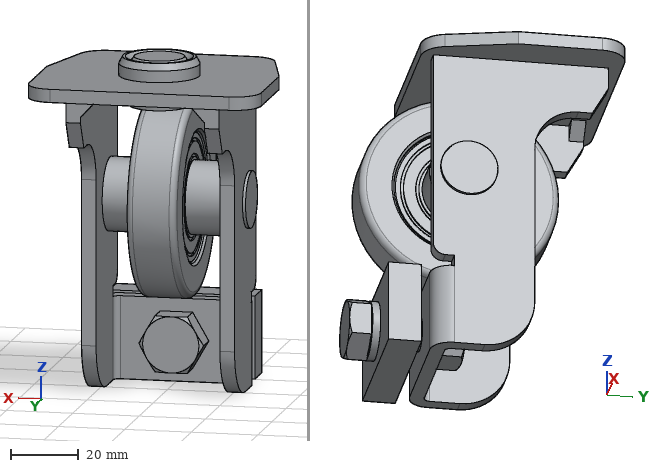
import cadquery as cq
import math


total_height = 102.5

plate_width = 70.0
plate_back = 28.1
plate_front = -32.0
plate_thickness = 4.0
plate_top = 97.0
plate_bottom = plate_top - plate_thickness
plate_taper_start = -5.0
plate_front_half_width = 27.7
plate_corner_radius = 8.0

stud_head_radius = 12.0
stud_bevel_width = 1.1
stud_bevel_height = 2.0
groove_inner_radius = 7.5
groove_bottom_radius = 8.5
groove_outer_radius = 10.0
groove_depth = 1.5
collar_radius = 9.2
collar_tip_radius = 8.8
collar_cylinder_height = 2.4
collar_height = 5.1

sheet = 4.4
fork_half_width = 23.1
fork_inner_half_width = fork_half_width - sheet
fork_back = 24.0
fork_front = -28.4
column_back = 1.9
neck_radius = 13.0
neck_level = 77.9
back_bevel_width = 4.8
back_bevel_top = 86.3
heel_radius = 15.0
arm_bottom = 28.3
arm_corner_radius = 3.6
foot_height = 25.0
foot_inside = fork_front + sheet
bend_outer_radius = 6.3
bend_inner_radius = bend_outer_radius - sheet
bend_start = fork_front + bend_outer_radius
gusset_width = 4.5
gusset_height = 4.9

axle_y = -17.7
axle_z = 56.9
wheel_radius = 29.9
wheel_width = 15.0
tread_fillet = 1.9
bore_radius = 19.6
bore_chamfer = 0.7
bearing_width = 12.7
race_chamfer = 0.5
inner_race_radius = 12.0
shield_inner_radius = 12.9
shield_outer_radius = 16.6
outer_race_radius = 17.5
shield_groove_depth = 0.5
spacer_radius = 11.1
pin_radius = 8.5
pin_length = 48.0

block_width = 44.0
block_front = -41.6
block_thickness = 9.8
bolt_z = foot_height / 2
bolt_radius = 5.0
washer_radius = 8.8
washer_thickness = 2.4
hex_across_flats = 16.9
head_collar_radius = 8.3
head_collar_thickness = 0.3
head_thickness = 6.6
nut_thickness = 8.0
hex_bevel_angle = math.radians(30)
hex_half_sector = math.radians(30)
head_turn = 90
nut_turn = 0


def along_x(radius, length):
    """Cylinder on the axle, centred on X = 0."""
    return (
        cq.Workplane("YZ", origin=(-length / 2, axle_y, axle_z))
        .circle(radius)
        .extrude(length)
    )


def along_bolt(radius, y_front, y_back):
    """Cylinder on the bolt axis between two Y positions."""
    return (
        cq.Workplane("XZ", origin=(0, y_back, bolt_z))
        .circle(radius)
        .extrude(y_back - y_front)
    )


def mounting_plate():
    """Plate with rounded corners, its sides tapering toward the front."""
    half = plate_width / 2
    outline = [
        (-half, plate_back),
        (half, plate_back),
        (half, plate_taper_start),
        (plate_front_half_width, plate_front),
        (-plate_front_half_width, plate_front),
        (-half, plate_taper_start),
    ]
    plate = cq.Workplane("XY", origin=(0, 0, plate_bottom)).polyline(outline).close().extrude(plate_thickness)
    rounded = plate.edges("|Z and >Y").fillet(plate_corner_radius)
    return rounded.edges("|Z and <Y").fillet(plate_corner_radius)


def stud():
    """Turned stud with a V groove in its head and a tapered collar under the plate."""
    profile = (
        cq.Workplane("XZ")
        .moveTo(0, plate_bottom - collar_height)
        .lineTo(collar_tip_radius, plate_bottom - collar_height)
        .lineTo(collar_radius, plate_bottom - collar_cylinder_height)
        .lineTo(collar_radius, plate_top)
        .lineTo(stud_head_radius, plate_top)
        .lineTo(stud_head_radius, total_height - stud_bevel_height)
        .lineTo(stud_head_radius - stud_bevel_width, total_height)
        .lineTo(groove_outer_radius, total_height)
        .lineTo(groove_bottom_radius, total_height - groove_depth)
        .lineTo(groove_inner_radius, total_height)
        .lineTo(0, total_height)
        .close()
    )
    return profile.revolve(360, (0, 0, 0), (0, 1, 0))


def fork_arm(x_start):
    """Side arm of the fork, one sheet thick, starting at x_start."""
    return (
        cq.Workplane("YZ", origin=(x_start, 0, 0))
        .moveTo(fork_front, plate_bottom)
        .lineTo(fork_back, plate_bottom)
        .lineTo(fork_back, back_bevel_top)
        .lineTo(fork_back - back_bevel_width, neck_level)
        .lineTo(column_back + neck_radius, neck_level)
        .radiusArc((column_back, neck_level - neck_radius), -neck_radius)
        .lineTo(column_back, heel_radius)
        .radiusArc((column_back - heel_radius, 0), heel_radius)
        .lineTo(bend_start, 0)
        .lineTo(bend_start, arm_bottom)
        .lineTo(fork_front + arm_corner_radius, arm_bottom)
        .radiusArc((fork_front, arm_bottom + arm_corner_radius), arm_corner_radius)
        .close()
        .extrude(sheet)
    )


def fork_foot():
    """Cross wall that joins the arms at the bottom through two rounded bends."""
    outer_flat = fork_half_width - bend_outer_radius
    return (
        cq.Workplane("XY")
        .moveTo(-fork_half_width, bend_start)
        .radiusArc((-outer_flat, fork_front), -bend_outer_radius)
        .lineTo(outer_flat, fork_front)
        .radiusArc((fork_half_width, bend_start), -bend_outer_radius)
        .lineTo(fork_inner_half_width, bend_start)
        .radiusArc((outer_flat, foot_inside), bend_inner_radius)
        .lineTo(-outer_flat, foot_inside)
        .radiusArc((-fork_inner_half_width, bend_start), bend_inner_radius)
        .close()
        .extrude(foot_height)
    )


def gusset(side):
    """Triangular brace between arm and plate at the back of the fork; side is -1 or 1."""
    corner = side * fork_inner_half_width
    return (
        cq.Workplane("XZ", origin=(0, fork_back, 0))
        .moveTo(corner, plate_bottom)
        .lineTo(corner - side * gusset_width, plate_bottom)
        .lineTo(corner, plate_bottom - gusset_height)
        .close()
        .extrude(sheet)
    )


def wheel_with_bearing():
    """Tyre and ball bearing as one turned body, each side face stepped at the bearing."""
    half_wheel = wheel_width / 2
    half_bearing = bearing_width / 2
    groove_floor = half_bearing - shield_groove_depth
    side_steps = [
        (0, half_bearing),
        (inner_race_radius, half_bearing),
        (inner_race_radius, groove_floor),
        (shield_inner_radius, groove_floor),
        (shield_inner_radius, half_bearing),
        (shield_outer_radius, half_bearing),
        (shield_outer_radius, groove_floor),
        (outer_race_radius, groove_floor),
        (outer_race_radius, half_bearing),
        (bore_radius - race_chamfer, half_bearing),
        (bore_radius, half_bearing - race_chamfer),
        (bore_radius, half_wheel - bore_chamfer),
        (bore_radius + bore_chamfer, half_wheel),
        (wheel_radius - tread_fillet, half_wheel),
    ]
    tread_edge = half_wheel - tread_fillet
    profile = (
        cq.Workplane("XY")
        .polyline([(offset, radius) for radius, offset in side_steps])
        .radiusArc((tread_edge, wheel_radius), -tread_fillet)
        .lineTo(-tread_edge, wheel_radius)
        .radiusArc((-half_wheel, wheel_radius - tread_fillet), -tread_fillet)
    )
    for radius, offset in reversed(side_steps[:-1]):
        profile = profile.lineTo(-offset, radius)
    wheel = profile.close().revolve(360, (0, 0, 0), (1, 0, 0))
    return wheel.translate((0, axle_y, axle_z))


def axle():
    """Pin through both arms, with a spacer that fills the fork width."""
    spacer = along_x(spacer_radius, 2 * fork_inner_half_width)
    return spacer.union(along_x(pin_radius, pin_length))


def hexagon(y_front, y_back, bevelled_end, turn):
    """Hexagonal prism on the bolt axis, corners cut by a cone at one end; turn 0 puts flats on top."""
    flat_radius = hex_across_flats / 2
    corner_radius = flat_radius / math.cos(hex_half_sector)
    bevel_width = corner_radius - flat_radius
    bevel_depth = bevel_width * math.tan(hex_bevel_angle)
    prism = (
        cq.Workplane("XZ", origin=(0, y_back, bolt_z))
        .transformed(rotate=(0, 0, turn))
        .polygon(6, 2 * corner_radius)
        .extrude(y_back - y_front)
    )
    cylinder = along_bolt(corner_radius, y_front, y_back)
    envelope = cylinder.faces(bevelled_end).chamfer(bevel_depth, bevel_width)
    return prism.intersect(envelope)


def brake_bolt():
    """Bolt through block and fork foot, with a washer under the head and a nut inside."""
    washer_front = block_front - washer_thickness
    head_back = washer_front - head_collar_thickness
    nut_back = foot_inside + nut_thickness
    head = hexagon(head_back - head_thickness, head_back, "<Y", head_turn)
    head_collar = along_bolt(head_collar_radius, head_back, washer_front)
    head_washer = along_bolt(washer_radius, washer_front, block_front)
    shank = along_bolt(bolt_radius, washer_front, nut_back)
    nut = hexagon(foot_inside, nut_back, ">Y", nut_turn)
    return shank.union(head).union(head_collar).union(head_washer).union(nut)


def brake_block():
    """Rectangular block held in front of the fork foot by the bolt."""
    return (
        cq.Workplane("XY", origin=(0, block_front + block_thickness / 2, 0))
        .rect(block_width, block_thickness)
        .extrude(foot_height)
    )


result = mounting_plate().union(stud()).union(fork_foot())
for arm_start in (-fork_half_width, fork_inner_half_width):
    result = result.union(fork_arm(arm_start))
for side in (-1, 1):
    result = result.union(gusset(side))
for part in (wheel_with_bearing(), axle(), brake_block(), brake_bolt()):
    result = result.union(part)